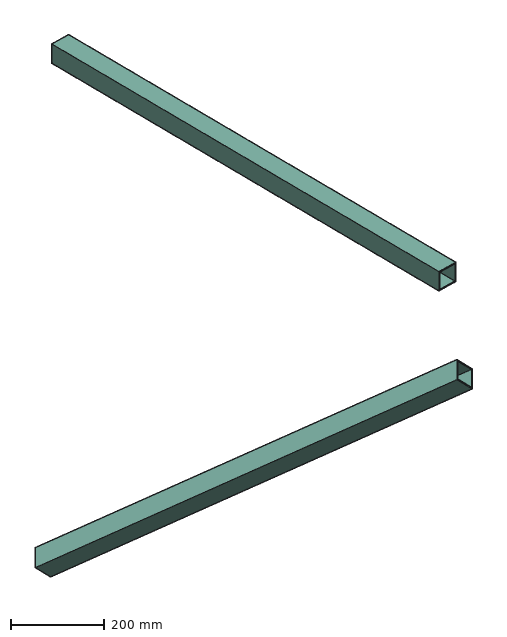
import cadquery as cq

length = 1193.8
outer_side = 50.8
wall = 3.175
inner_side = outer_side - 2 * wall

result = (
    cq.Workplane("YZ", origin=(-length / 2, 0, 0))
    .rect(outer_side, outer_side)
    .rect(inner_side, inner_side)
    .extrude(length)
)